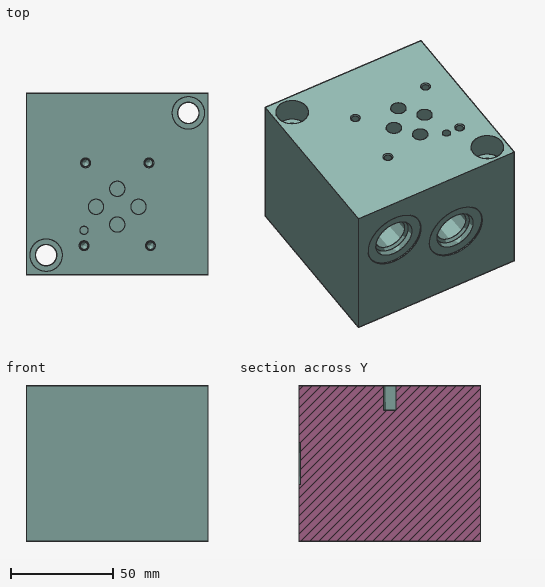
import cadquery as cq
import math

BLOCK_SIDE = 88.9
BLOCK_HEIGHT = 76.2
SIDE_FACE_X = -BLOCK_SIDE / 2

MOUNT_OFFSET = 34.8
MOUNT_DIAMETER = 10.31
COUNTERBORE_DIAMETER = 15.88
COUNTERBORE_DEPTH = 13.0

PATTERN_ORIGIN = (15.5, 10.35)
BOLT_POSITIONS = [(0, 0), (40.5, -0.75), (40.5, 31.75), (0, 31.0)]
FLOW_POSITIONS = [(12.7, 15.5), (30.2, 15.5), (21.5, 5.1), (21.5, 25.9)]
PIN_POSITION = (33.0, 31.75)

BOLT_DIAMETER = 3.68
BOLT_MOUTH_DIAMETER = 4.83
BOLT_DEPTH = 12.0
BOLT_TIP_ANGLE = 118.0
FLOW_DIAMETER = 7.49
FLOW_DEPTH = 12.0
PIN_DIAMETER = 4.01
PIN_DEPTH = 5.0

SIDE_PORTS = [(23.8, 50.8), (-11.1, 38.1)]
SPOTFACE_DIAMETER = 30.18
SPOTFACE_DEPTH = 0.76
SEAL_MOUTH_DIAMETER = 20.62
SEAL_HALF_ANGLE = 15.0
SEAL_DEPTH = 2.5
LEAD_IN_HALF_ANGLE = 45.0
PORT_DIAMETER = 16.76
PORT_DEPTH = 20.0


def make_block():
    return cq.Workplane("XY").box(BLOCK_SIDE, BLOCK_SIDE, BLOCK_HEIGHT, centered=(True, True, False))


def pattern_point(position):
    """Convert (along, across) distances of the valve pattern to X and Y."""
    along, across = position
    return (PATTERN_ORIGIN[0] - across, PATTERN_ORIGIN[1] - along)


def top_cylinder(point, diameter, depth):
    """Flat-bottomed cylinder sunk into the top face."""
    top_plane = cq.Workplane("XY", origin=(*point, BLOCK_HEIGHT))
    return top_plane.circle(diameter / 2).extrude(-depth)


def revolved_cutter(profile):
    """Solid turned about Z from (radius, Z) points; the profile closes along the axis."""
    return cq.Workplane("XZ").polyline(profile).close().revolve(360, (0, 0), (0, 1))


def mounting_hole(point):
    through_hole = top_cylinder(point, MOUNT_DIAMETER, BLOCK_HEIGHT)
    return through_hole.union(top_cylinder(point, COUNTERBORE_DIAMETER, COUNTERBORE_DEPTH))


def bolt_hole(point):
    """Blind tapped hole with a 45 degree chamfered mouth and a conical drill tip."""
    radius = BOLT_DIAMETER / 2
    mouth_radius = BOLT_MOUTH_DIAMETER / 2
    chamfer_depth = mouth_radius - radius
    tip_depth = radius / math.tan(math.radians(BOLT_TIP_ANGLE / 2))
    profile = [
        (0, 0),
        (mouth_radius, 0),
        (radius, -chamfer_depth),
        (radius, -BOLT_DEPTH),
        (0, -BOLT_DEPTH - tip_depth),
    ]
    return revolved_cutter(profile).translate((*point, BLOCK_HEIGHT))


def side_port(center_y, center_z):
    """Spotfaced straight-thread port: tapered seal seat, lead-in cone and flat-bottomed bore."""
    spotface_radius = SPOTFACE_DIAMETER / 2
    seal_radius = SEAL_MOUTH_DIAMETER / 2
    port_radius = PORT_DIAMETER / 2
    seal_end = SPOTFACE_DEPTH + SEAL_DEPTH
    seal_end_radius = seal_radius - SEAL_DEPTH * math.tan(math.radians(SEAL_HALF_ANGLE))
    lead_in_length = (seal_end_radius - port_radius) / math.tan(math.radians(LEAD_IN_HALF_ANGLE))
    profile = [
        (0, 0),
        (spotface_radius, 0),
        (spotface_radius, -SPOTFACE_DEPTH),
        (seal_radius, -SPOTFACE_DEPTH),
        (seal_end_radius, -seal_end),
        (port_radius, -seal_end - lead_in_length),
        (port_radius, -PORT_DEPTH),
        (0, -PORT_DEPTH),
    ]
    cutter = revolved_cutter(profile).rotate((0, 0, 0), (0, 1, 0), -90)
    return cutter.translate((SIDE_FACE_X, center_y, center_z))


result = make_block()

for corner in (-1, 1):
    result = result.cut(mounting_hole((corner * MOUNT_OFFSET, corner * MOUNT_OFFSET)))

for bolt_position in BOLT_POSITIONS:
    result = result.cut(bolt_hole(pattern_point(bolt_position)))

for flow_position in FLOW_POSITIONS:
    result = result.cut(top_cylinder(pattern_point(flow_position), FLOW_DIAMETER, FLOW_DEPTH))

result = result.cut(top_cylinder(pattern_point(PIN_POSITION), PIN_DIAMETER, PIN_DEPTH))

for port_y, port_z in SIDE_PORTS:
    result = result.cut(side_port(port_y, port_z))